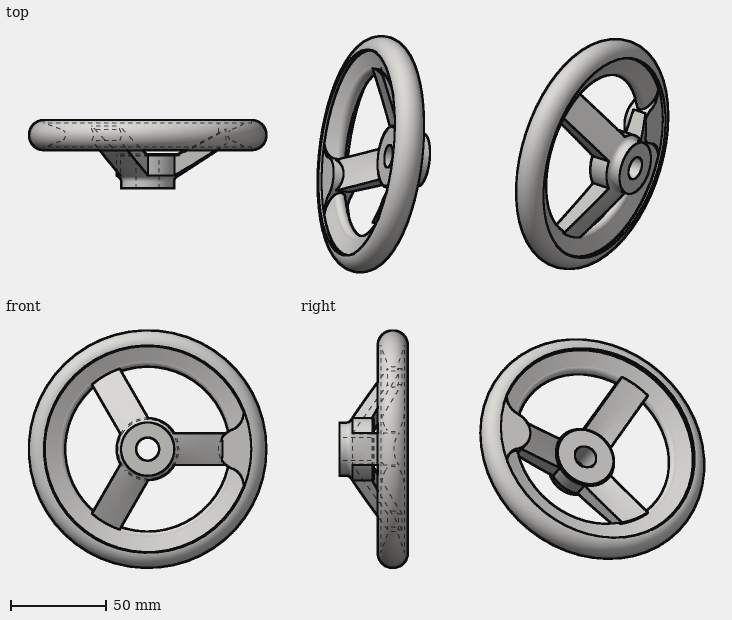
import cadquery as cq
import math

wheel_radius = 62.5
overall_depth = 36.0
rim_round = 8.0
crown_radius = wheel_radius - rim_round
step_width = 0.4
step_depth = 1.8
ledge_y = step_depth - rim_round
dish_inner_radius = 46.1
dish_inner_y = -3.2
opening_radius = 43.2

hub_face_y = rim_round - overall_depth
hub_back_y = -10.0
hub_radius = 16.4
hub_back_chamfer = 0.8
neck_radius = 14.0
neck_fillet = 3.1
bore_radius = 6.0

spoke_count = 3
spoke_width = 16.9
spoke_slope = 0.65
spoke_back_slope = 0.55
spoke_start_y = -21.2
spoke_back_start_y = -10.9
spoke_end_radius = 45.0

boss_x = 48.1
boss_radius = 10.9
boss_front_y = ledge_y
boss_back_y = -ledge_y
flare_start_x = 45.1
flare_mid = (48.6, 13.5)
flare_end = (50.1, 20.9)


def revolve_profile(profile):
    """Turn a closed (radius, y) profile about the wheel axis."""
    return profile.close().revolve(360, (0, 0, 0), (0, 1, 0))


def spoke_front(radius):
    return spoke_start_y + spoke_slope * (radius - hub_radius)


def spoke_back(radius):
    return spoke_back_start_y + spoke_back_slope * (radius - hub_radius)


def make_rim():
    """Symmetrical ring: rounded grip outside, dished on both faces, rounded lip inside."""
    ledge_radius = crown_radius - step_width
    profile = (
        cq.Workplane("XY")
        .moveTo(crown_radius, -rim_round)
        .threePointArc((wheel_radius, 0), (crown_radius, rim_round))
        .lineTo(crown_radius, -ledge_y)
        .lineTo(ledge_radius, -ledge_y)
        .lineTo(dish_inner_radius, -dish_inner_y)
        .threePointArc((opening_radius, 0), (dish_inner_radius, dish_inner_y))
        .lineTo(ledge_radius, ledge_y)
        .lineTo(crown_radius, ledge_y)
    )
    return revolve_profile(profile)


def make_hub_and_spokes():
    """Turn the hub and a conical web in one piece, then keep only the spokes of the web."""
    cone_angle = math.atan(spoke_slope)
    fillet_center_radius = neck_radius + neck_fillet
    tangent_radius = fillet_center_radius - neck_fillet * math.sin(cone_angle)
    tangent_y = spoke_front(tangent_radius)
    fillet_center_y = tangent_y - neck_fillet * math.cos(cone_angle)
    middle_angle = (math.pi / 2 - cone_angle) / 2
    fillet_middle = (fillet_center_radius - neck_fillet * math.cos(middle_angle),
                     fillet_center_y + neck_fillet * math.sin(middle_angle))
    web = revolve_profile(
        cq.Workplane("XY")
        .moveTo(0, hub_face_y)
        .lineTo(neck_radius, hub_face_y)
        .lineTo(neck_radius, fillet_center_y)
        .threePointArc(fillet_middle, (tangent_radius, tangent_y))
        .lineTo(spoke_end_radius, spoke_front(spoke_end_radius))
        .lineTo(spoke_end_radius, spoke_back(spoke_end_radius))
        .lineTo(hub_radius, spoke_back(hub_radius))
        .lineTo(hub_radius, hub_back_y - hub_back_chamfer)
        .lineTo(hub_radius - hub_back_chamfer, hub_back_y)
        .lineTo(0, hub_back_y)
    )
    kept = (
        cq.Workplane("XZ", origin=(0, wheel_radius, 0))
        .circle(hub_radius)
        .extrude(2 * wheel_radius)
    )
    for index in range(spoke_count):
        bar = cq.Workplane("XY").box(
            wheel_radius, 2 * wheel_radius, spoke_width, centered=(False, True, True)
        )
        kept = kept.union(bar.rotate((0, 0, 0), (0, 1, 0), index * 360 / spoke_count))
    return web.intersect(kept)


def make_boss():
    """Round boss whose sides flare out into the rim."""
    flare_start_z = math.sqrt(boss_radius**2 - (flare_start_x - boss_x) ** 2)
    flare_mid_x, flare_mid_z = flare_mid
    flare_end_x, flare_end_z = flare_end
    outline = (
        cq.Workplane("XZ", origin=(0, boss_back_y, 0))
        .moveTo(flare_end_x, -flare_end_z)
        .threePointArc((flare_mid_x, -flare_mid_z), (flare_start_x, -flare_start_z))
        .threePointArc((boss_x - boss_radius, 0), (flare_start_x, flare_start_z))
        .threePointArc(flare_mid, flare_end)
        .threePointArc((crown_radius, 0), (flare_end_x, -flare_end_z))
        .close()
    )
    return outline.extrude(boss_back_y - boss_front_y)


bore = (
    cq.Workplane("XZ", origin=(0, rim_round, 0))
    .circle(bore_radius)
    .extrude(rim_round - hub_face_y)
)

result = make_rim().union(make_boss()).union(make_hub_and_spokes()).cut(bore)